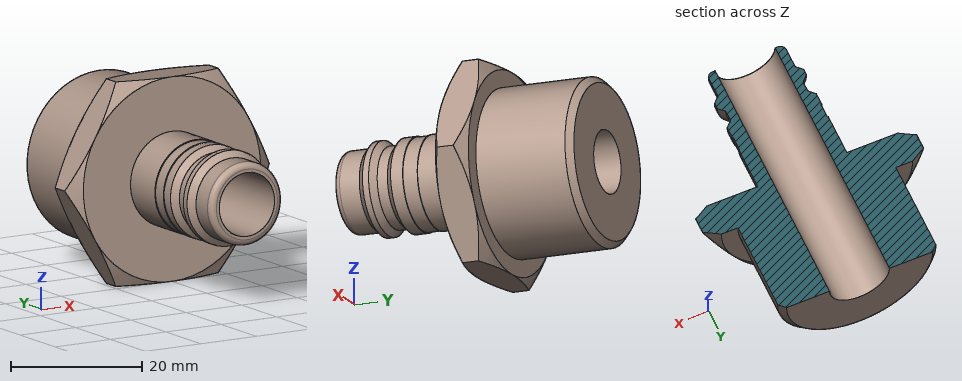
import cadquery as cq
import math

length = 43.0
bore_radius = 5.0

across_flats = 32.0
hex_start = 21.45
hex_end = 27.0
hex_chamfer_angle = 30.0

spigot_radius = 13.25
spigot_chamfer = 1.05

plug_radius = 7.5
neck_radius = 6.5
tip_fillet = 1.0
bevel = plug_radius - neck_radius
rib_start = 4.3
rib_land = 1.05
shoulder_start = 9.05
relief_start = 12.05
relief_end = 14.5
relief_radius = 7.35


def revolve_profile(points):
    """Turn (radius, y) points into a solid of revolution about the Y axis."""
    return cq.Workplane("XY").polyline(points).close().revolve(360, (0, 0, 0), (0, 1, 0))


def make_plug():
    rib_land_start = rib_start + bevel
    rib_land_end = rib_land_start + rib_land
    plug = revolve_profile([
        (0, 0),
        (neck_radius, 0),
        (neck_radius, rib_start),
        (plug_radius, rib_land_start),
        (plug_radius, rib_land_end),
        (neck_radius, rib_land_end + bevel),
        (neck_radius, shoulder_start),
        (plug_radius, shoulder_start + bevel),
        (plug_radius, relief_start),
        (relief_radius, relief_start),
        (relief_radius, relief_end),
        (plug_radius, relief_end),
        (plug_radius, hex_start),
        (0, hex_start),
    ])
    return plug.faces("<Y").edges().fillet(tip_fillet)


def make_hexagon():
    flat_radius = across_flats / 2
    corner_radius = flat_radius / math.cos(math.radians(30))
    chamfer_depth = (corner_radius - flat_radius) * math.tan(math.radians(hex_chamfer_angle))
    prism = (
        cq.Workplane("XZ", origin=(0, hex_end, 0))
        .polygon(6, 2 * corner_radius)
        .extrude(hex_end - hex_start)
    )
    envelope = revolve_profile([
        (0, hex_start),
        (flat_radius, hex_start),
        (corner_radius, hex_start + chamfer_depth),
        (corner_radius, hex_end - chamfer_depth),
        (flat_radius, hex_end),
        (0, hex_end),
    ])
    return prism.intersect(envelope)


def make_spigot():
    return revolve_profile([
        (0, hex_end),
        (spigot_radius, hex_end),
        (spigot_radius, length - spigot_chamfer),
        (spigot_radius - spigot_chamfer, length),
        (0, length),
    ])


bore = cq.Workplane("XZ").circle(bore_radius).extrude(-length)

result = make_plug().union(make_hexagon()).union(make_spigot()).cut(bore)